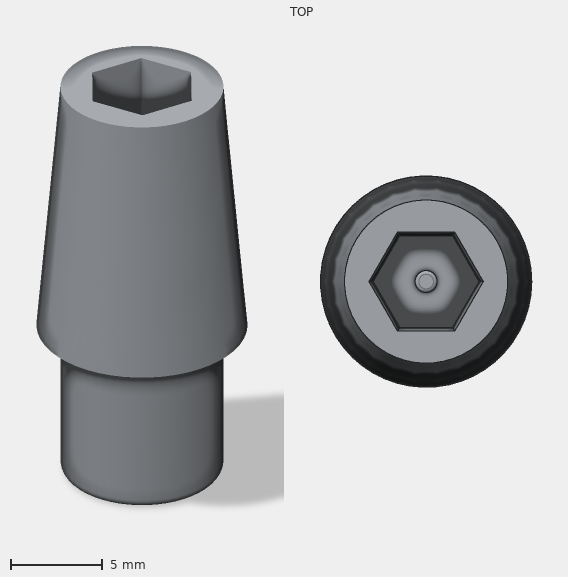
import cadquery as cq
import math

SHANK_DIAMETER = 8.9
SHANK_LENGTH = 9.0
SHANK_EDGE_RADIUS = 0.5
HEAD_LENGTH = 15.0
HEAD_TOP_DIAMETER = SHANK_DIAMETER
HEAD_TAPER_DEGREES = 5.0

SOCKET_SIDES = 6
SOCKET_ACROSS_FLATS = 5.4
SOCKET_DEPTH = 11.5
SOCKET_DRAFT_DEGREES = 1.0

BOSS_DIAMETER = 1.2
BOSS_HEIGHT = 0.5
BOSS_EDGE_RADIUS = 0.2

TOTAL_HEIGHT = SHANK_LENGTH + HEAD_LENGTH
SOCKET_FLOOR_Z = TOTAL_HEIGHT - SOCKET_DEPTH


def make_body():
    """Revolve the shank, with its rounded bottom edge, and the tapered head above it."""
    shank_radius = SHANK_DIAMETER / 2
    head_top_radius = HEAD_TOP_DIAMETER / 2
    head_base_radius = head_top_radius + HEAD_LENGTH * math.tan(math.radians(HEAD_TAPER_DEGREES))
    profile = (
        cq.Workplane("XZ")
        .lineTo(shank_radius - SHANK_EDGE_RADIUS, 0)
        .radiusArc((shank_radius, SHANK_EDGE_RADIUS), -SHANK_EDGE_RADIUS)
        .lineTo(shank_radius, SHANK_LENGTH)
        .lineTo(head_base_radius, SHANK_LENGTH)
        .lineTo(head_top_radius, TOTAL_HEIGHT)
        .lineTo(0, TOTAL_HEIGHT)
        .close()
    )
    return profile.revolve(360, (0, 0, 0), (0, 1, 0))


def make_socket():
    """Hexagonal socket, corners along X, narrowing slightly towards its floor."""
    across_corners = SOCKET_ACROSS_FLATS / math.cos(math.pi / SOCKET_SIDES)
    return (
        cq.Workplane("XY")
        .workplane(offset=TOTAL_HEIGHT)
        .polygon(SOCKET_SIDES, across_corners)
        .extrude(-SOCKET_DEPTH, taper=SOCKET_DRAFT_DEGREES)
    )


def make_center_boss():
    """Small round boss on the socket floor with a rounded top edge."""
    return (
        cq.Workplane("XY")
        .workplane(offset=SOCKET_FLOOR_Z)
        .circle(BOSS_DIAMETER / 2)
        .extrude(BOSS_HEIGHT)
        .faces(">Z")
        .edges()
        .fillet(BOSS_EDGE_RADIUS)
    )


result = make_body().cut(make_socket()).union(make_center_boss())